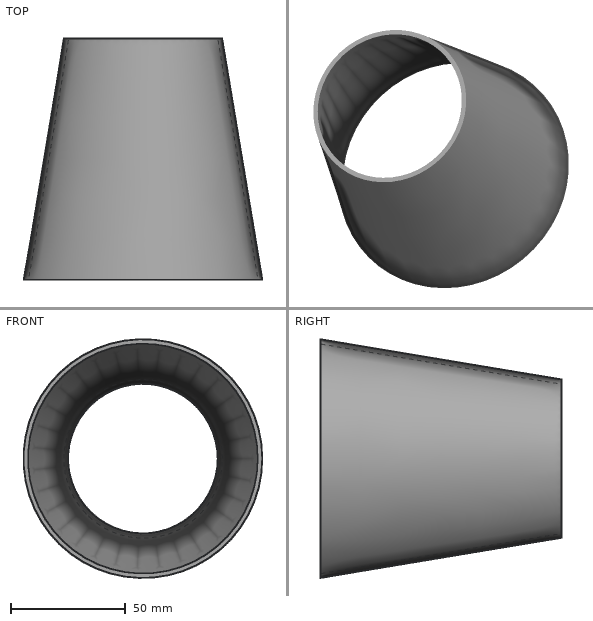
import cadquery as cq

large_diameter = 104.0
small_diameter = 69.0
length = 105.0
wall = 2.0

large_radius = large_diameter / 2
small_radius = small_diameter / 2


def make_reducer():
    """Revolve the sloping wall section around the Y axis."""
    wall_section = (
        cq.Workplane("XY")
        .moveTo(large_radius - wall, 0)
        .lineTo(large_radius, 0)
        .lineTo(small_radius, length)
        .lineTo(small_radius - wall, length)
        .close()
    )
    return wall_section.revolve(360, (0, 0, 0), (0, 1, 0))


result = make_reducer()